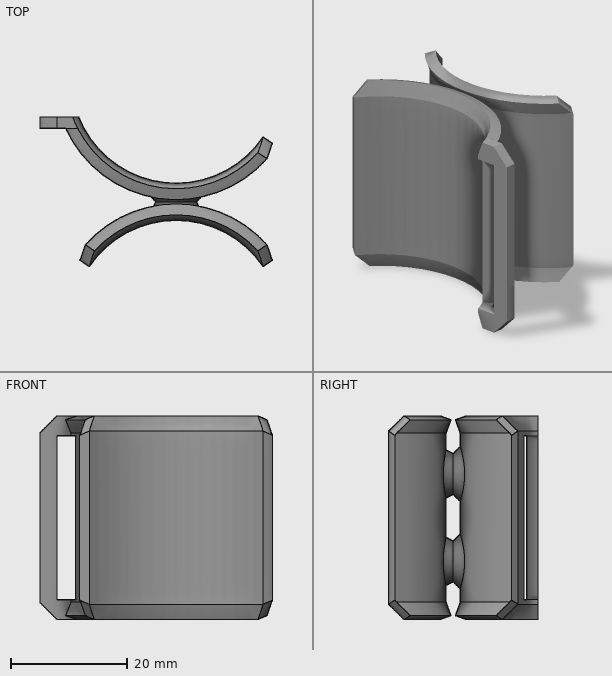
import cadquery as cq
import math

height = 35.0
total_width = 40.0
inner_radius = 18.0
wall = 2.0
tip_angle = 56.0
flare_angle = 20.0
flare_length = 2.8
tip_chamfer = 2.8
stand_off = 1.2

pad_heights = (10.0, 25.0)
pad_radius = 3.5
rear_pad_slope = 45.0
front_pad_slope = 27.0
pad_embed = 1.0

plate_back = 14.6
plate_chamfer = 2.95
strap_bar_width = 2.95
slot_end_margin = 3.45
slot_wall_angle = 60.0
rear_shell_angle = 85.0

outer_radius = inner_radius + wall
axis_offset = outer_radius + stand_off
flare_sin = math.sin(math.radians(flare_angle))
flare_cos = math.cos(math.radians(flare_angle))
rim_inner_radius = inner_radius + flare_length * flare_sin
rim_outer_radius = rim_inner_radius + wall * flare_cos
rim_outer_inset = wall * flare_sin
inner_bend_height = flare_length * flare_cos
outer_bend_height = inner_bend_height + wall * math.tan(math.radians(flare_angle / 2))
plate_left = outer_radius * math.sin(math.radians(tip_angle)) - total_width
slot_left = plate_left + strap_bar_width
plate_right = -math.sqrt(inner_radius**2 - (axis_offset - plate_back) ** 2)
margin = 0.4


def revolved(profile, left_angle, right_angle):
    """Turn a radius-height profile about Z, with angles counted from -Y."""
    turned = cq.Workplane("XZ").polyline(profile).close().revolve(
        left_angle + right_angle, (0, 0, 0), (0, 1, 0)
    )
    return turned.rotate((0, 0, 0), (0, 0, 1), -90 - left_angle)


def flared_shell(left_angle, right_angle):
    """Part-cylinder wall whose top and bottom rims bend outward."""
    profile = [
        (rim_inner_radius, 0),
        (rim_outer_radius, rim_outer_inset),
        (outer_radius, outer_bend_height),
        (outer_radius, height - outer_bend_height),
        (rim_outer_radius, height - rim_outer_inset),
        (rim_inner_radius, height),
        (inner_radius, height - inner_bend_height),
        (inner_radius, inner_bend_height),
    ]
    return revolved(profile, left_angle, right_angle)


def shell_cavity():
    """Full round space inside the wall and its flared rims."""
    profile = [
        (0, 0),
        (rim_inner_radius, 0),
        (inner_radius, inner_bend_height),
        (inner_radius, height - inner_bend_height),
        (rim_inner_radius, height),
        (0, height),
    ]
    return revolved(profile, 180, 180)


def cut_right_tip(shell):
    """Cut both corners of the right tip, square to the bent rims."""
    rim_plane = cq.Plane(
        origin=(rim_inner_radius, 0, 0),
        xDir=(0, 1, 0),
        normal=(flare_cos, 0, flare_sin),
    )
    corner = [
        (-tip_chamfer - margin, -margin),
        (margin, tip_chamfer + margin),
        (margin, -margin),
    ]
    bottom_cutter = (
        cq.Workplane(rim_plane).polyline(corner).close().extrude(2 * wall, both=True)
        .rotate((0, 0, 0), (0, 0, 1), tip_angle - 90)
    )
    top_cutter = bottom_cutter.mirror("XY", (0, 0, height / 2))
    return shell.cut(bottom_cutter).cut(top_cutter)


def add_pads(body, slope, side):
    """Add conical pads that widen from Y = 0 toward the shell on the given side."""
    length = stand_off + pad_embed
    base_radius = pad_radius + length * math.tan(math.radians(slope))
    for z in pad_heights:
        pad = cq.Solid.makeCone(
            pad_radius, base_radius, length, cq.Vector(0, 0, z), cq.Vector(0, side, 0)
        )
        body = body.union(cq.Workplane(pad))
    return body


def strap_plate():
    """Flat plate at the back left that carries the strap bar."""
    return (
        cq.Workplane("XY")
        .box(plate_right - plate_left, wall, height, centered=False)
        .translate((plate_left, plate_back - wall, 0))
        .edges("|Y and <X").chamfer(plate_chamfer)
    )


def strap_slot():
    """Opening between the strap bar and the radial end of the shell."""
    sine = math.sin(math.radians(slot_wall_angle))
    cosine = math.cos(math.radians(slot_wall_angle))
    reach = outer_radius + wall
    back_radius = (axis_offset - plate_back) / cosine
    front_y = axis_offset - reach * cosine
    outline = [
        (slot_left, plate_back),
        (slot_left, front_y),
        (-reach * sine, front_y),
        (-back_radius * sine, plate_back),
    ]
    return (
        cq.Workplane("XY", origin=(0, 0, slot_end_margin))
        .polyline(outline).close()
        .extrude(height - 2 * slot_end_margin)
    )


def make_strap_clip():
    """Rear body: shell opening toward +Y, with the strap plate on its left."""
    shell = cut_right_tip(flared_shell(rear_shell_angle, tip_angle))
    shell = shell.translate((0, axis_offset, 0))
    behind_plate = (
        cq.Workplane("XY")
        .box(2 * total_width, total_width, height, centered=(True, False, False))
        .translate((0, plate_back, 0))
    )
    plate = strap_plate().cut(shell_cavity().translate((0, axis_offset, 0)))
    body = shell.cut(behind_plate).union(plate).cut(strap_slot())
    return add_pads(body, rear_pad_slope, 1)


def make_tube_clip():
    """Front body: symmetric shell opening toward -Y."""
    half_cut = cut_right_tip(flared_shell(tip_angle, tip_angle))
    shell = cut_right_tip(half_cut.mirror("YZ"))
    shell = shell.mirror("XZ").translate((0, -axis_offset, 0))
    return add_pads(shell, front_pad_slope, -1)


strap_clip = make_strap_clip()
tube_clip = make_tube_clip()
result = cq.Compound.makeCompound([strap_clip.val(), tube_clip.val()])